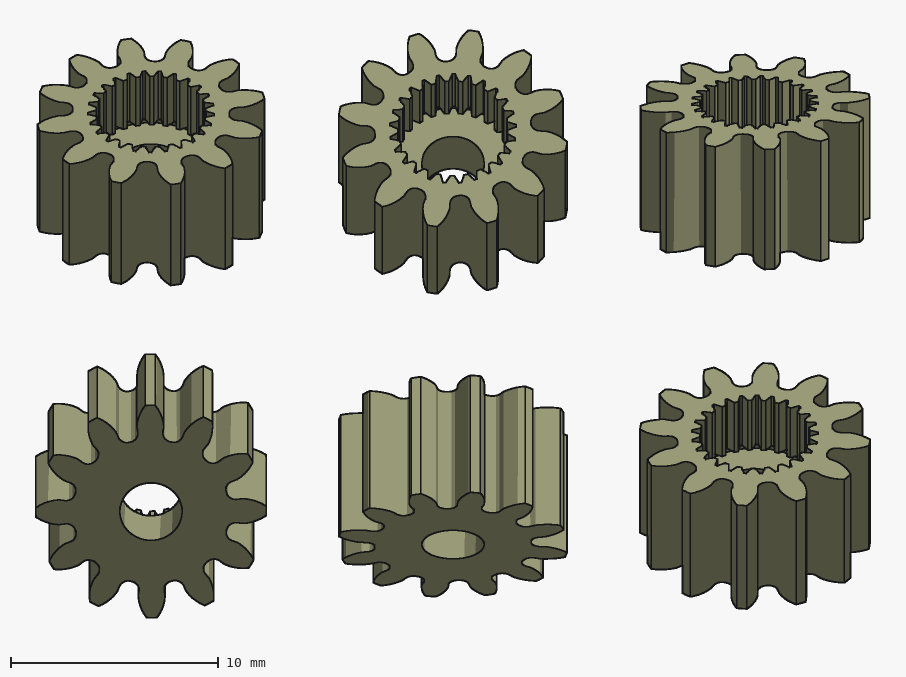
import cadquery as cq
import math

INCH = 25.4
TOOTH_COUNT = 12
DIAMETRAL_PITCH = 32
PRESSURE_ANGLE = math.radians(20)
DEDENDUM_FACTOR = 1.25
FACE_WIDTH = 6.35

MODULE = INCH / DIAMETRAL_PITCH
PITCH_RADIUS = MODULE * TOOTH_COUNT / 2
TIP_RADIUS = PITCH_RADIUS + MODULE
ROOT_RADIUS = PITCH_RADIUS - DEDENDUM_FACTOR * MODULE
BASE_RADIUS = PITCH_RADIUS * math.cos(PRESSURE_ANGLE)
TOOTH_PITCH_ANGLE = 2 * math.pi / TOOTH_COUNT
ROOT_LAND_WIDTH = 0.07

SPLINE_COUNT = 25
SPLINE_DEPTH = 3.05
SPLINE_LAND_RADIUS = 2.65
SPLINE_ROOT_RADIUS = 3.05
GROOVE_MOUTH_HALF_WIDTH = 0.23
GROOVE_ROOT_HALF_WIDTH = 0.065

RELIEF_RADIUS = 3.1
RELIEF_FLOOR_DEPTH = 3.3
HOLE_DIAMETER = 3.0


def polar(radius, angle):
    """Point at the given radius and angle (radians)."""
    return (radius * math.cos(angle), radius * math.sin(angle))


def involute_angle(pressure_angle):
    """Angle swept by an involute where it has this pressure angle."""
    return math.tan(pressure_angle) - pressure_angle


BASE_HALF_ANGLE = TOOTH_PITCH_ANGLE / 4 + involute_angle(PRESSURE_ANGLE)


def tooth_half_angle(radius):
    """Half the angle that one tooth spans at a radius on its involute flanks."""
    return BASE_HALF_ANGLE - involute_angle(math.acos(BASE_RADIUS / radius))


def gear_blank():
    """Toothed body: arc flanks fitted to the involute, radial feet and rounded gaps with a root land."""
    flank_middle_radius = (BASE_RADIUS + TIP_RADIUS) / 2
    tip_half_angle = tooth_half_angle(TIP_RADIUS)
    middle_half_angle = tooth_half_angle(flank_middle_radius)

    gap_half_angle = TOOTH_PITCH_ANGLE / 2 - BASE_HALF_ANGLE
    land_half_angle = ROOT_LAND_WIDTH / 2 / ROOT_RADIUS
    round_half_angle = gap_half_angle - land_half_angle
    gap_round_radius = ROOT_RADIUS * math.sin(round_half_angle) / (1 - math.sin(round_half_angle))
    round_center_distance = ROOT_RADIUS + gap_round_radius
    tangent_radius = round_center_distance * math.cos(round_half_angle)

    half_sweep = (math.pi / 2 - round_half_angle) / 2
    round_middle_distance = round_center_distance - gap_round_radius * math.cos(half_sweep)
    round_middle_offset = gap_round_radius * math.sin(half_sweep)
    round_middle_radius = math.hypot(round_middle_distance, round_middle_offset)
    round_middle_angle = land_half_angle + math.atan2(round_middle_offset, round_middle_distance)

    outline = cq.Workplane("XY").moveTo(*polar(BASE_RADIUS, -BASE_HALF_ANGLE))
    for i in range(TOOTH_COUNT):
        tooth = i * TOOTH_PITCH_ANGLE
        gap = tooth + TOOTH_PITCH_ANGLE / 2
        outline = (
            outline.threePointArc(
                polar(flank_middle_radius, tooth - middle_half_angle),
                polar(TIP_RADIUS, tooth - tip_half_angle),
            )
            .threePointArc(polar(TIP_RADIUS, tooth), polar(TIP_RADIUS, tooth + tip_half_angle))
            .threePointArc(
                polar(flank_middle_radius, tooth + middle_half_angle),
                polar(BASE_RADIUS, tooth + BASE_HALF_ANGLE),
            )
            .lineTo(*polar(tangent_radius, tooth + BASE_HALF_ANGLE))
            .threePointArc(
                polar(round_middle_radius, gap - round_middle_angle),
                polar(ROOT_RADIUS, gap - land_half_angle),
            )
            .threePointArc(polar(ROOT_RADIUS, gap), polar(ROOT_RADIUS, gap + land_half_angle))
            .threePointArc(
                polar(round_middle_radius, gap + round_middle_angle),
                polar(tangent_radius, gap + gap_half_angle),
            )
            .lineTo(*polar(BASE_RADIUS, gap + gap_half_angle))
        )
    return outline.close().extrude(FACE_WIDTH)


def spline_socket():
    """Cutter for the straight-sided internal spline, open at the top face."""
    mouth_half_angle = math.asin(GROOVE_MOUTH_HALF_WIDTH / SPLINE_LAND_RADIUS)
    root_half_angle = math.asin(GROOVE_ROOT_HALF_WIDTH / SPLINE_ROOT_RADIUS)
    pitch_angle = 2 * math.pi / SPLINE_COUNT

    outline = cq.Workplane("XY").workplane(offset=FACE_WIDTH - SPLINE_DEPTH)
    outline = outline.moveTo(*polar(SPLINE_LAND_RADIUS, -mouth_half_angle))
    for i in range(SPLINE_COUNT):
        angle = i * pitch_angle
        land_angle = angle + pitch_angle / 2
        next_mouth_angle = angle + pitch_angle - mouth_half_angle
        outline = (
            outline.lineTo(*polar(SPLINE_ROOT_RADIUS, angle - root_half_angle))
            .threePointArc(
                polar(SPLINE_ROOT_RADIUS, angle),
                polar(SPLINE_ROOT_RADIUS, angle + root_half_angle),
            )
            .lineTo(*polar(SPLINE_LAND_RADIUS, angle + mouth_half_angle))
            .threePointArc(
                polar(SPLINE_LAND_RADIUS, land_angle),
                polar(SPLINE_LAND_RADIUS, next_mouth_angle),
            )
        )
    return outline.close().extrude(SPLINE_DEPTH)


def relief_chamber():
    """Cutter for the round undercut between the spline and the socket floor."""
    chamber = cq.Workplane("XY").workplane(offset=FACE_WIDTH - RELIEF_FLOOR_DEPTH)
    return chamber.circle(RELIEF_RADIUS).extrude(RELIEF_FLOOR_DEPTH - SPLINE_DEPTH)


def screw_hole():
    """Cutter for the hole through the full face width."""
    return cq.Workplane("XY").circle(HOLE_DIAMETER / 2).extrude(FACE_WIDTH)


result = gear_blank().cut(spline_socket()).cut(relief_chamber()).cut(screw_hole())